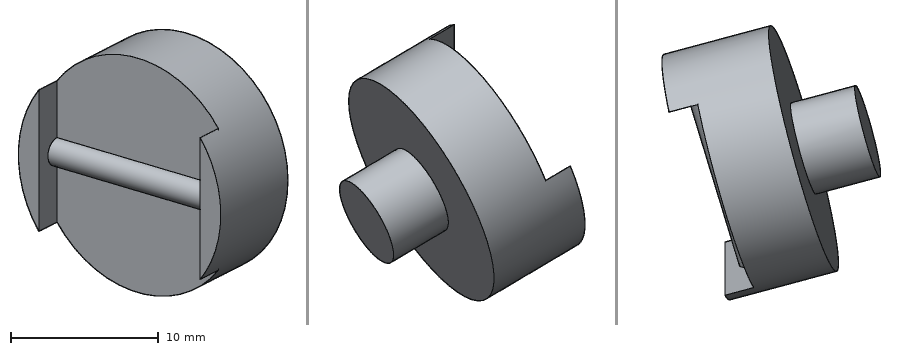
import cadquery as cq

disc_diameter = 17.2
boss_diameter = 6.4
boss_length = 4.5
total_length = 12.0
slot_width = 13.7
slot_depth = 2.03
rod_diameter = 2.03

disc_length = total_length - boss_length
slot_floor_y = -disc_length + slot_depth


def cylinder_toward_back(diameter, start_y, length):
    """Solid cylinder on the Y axis, growing from start_y toward +Y."""
    plane = cq.Workplane("XZ", origin=(0, start_y, 0))
    return plane.circle(diameter / 2).extrude(-length)


disc = cylinder_toward_back(disc_diameter, -disc_length, disc_length)
boss = cylinder_toward_back(boss_diameter, 0, boss_length)

slot = cq.Workplane("XY").box(slot_width, slot_depth, disc_diameter).translate(
    (0, slot_floor_y - slot_depth / 2, 0)
)

rod = (
    cq.Workplane("YZ", origin=(-slot_width / 2, slot_floor_y, 0))
    .circle(rod_diameter / 2)
    .extrude(slot_width)
)

result = disc.cut(slot).union(boss).union(rod)